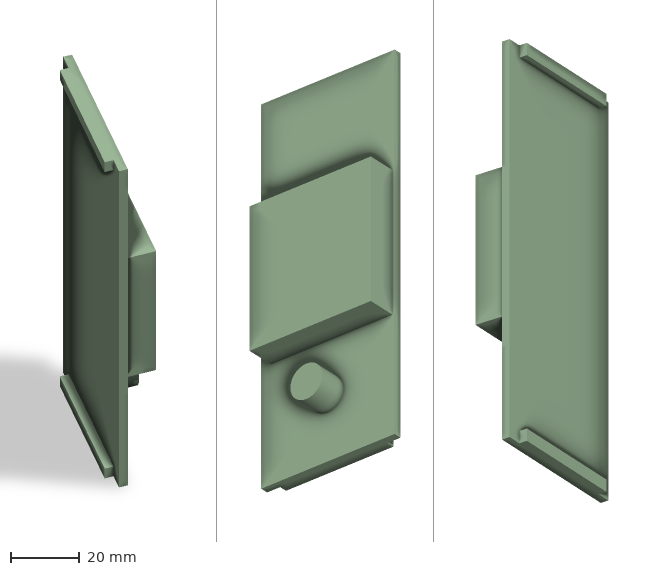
import cadquery as cq

plate_width = 50.0
plate_height = 130.0
plate_thickness = 2.7

rib_length = 40.3
rib_height = 4.0
rib_depth = 2.7

back_depth = 10.0
housing_width = 45.5
housing_height = 48.9
housing_offset_x = -1.4
housing_top_gap = 40.4
post_diameter = 12.0
post_bottom_gap = 22.5


def block(width, depth, height, center_x, start_y, center_z):
    """Box centred in X and Z that extends from start_y toward +Y."""
    box = cq.Workplane("XY").box(width, depth, height, centered=(True, False, True))
    return box.translate((center_x, start_y, center_z))


result = block(plate_width, plate_thickness, plate_height, 0, -plate_thickness, 0)

rib_center_z = (plate_height - rib_height) / 2
rib_front_y = -plate_thickness - rib_depth
for side in (-1, 1):
    rib = block(rib_length, rib_depth, rib_height, 0, rib_front_y, side * rib_center_z)
    result = result.union(rib)

housing_center_z = plate_height / 2 - housing_top_gap - housing_height / 2
housing = block(housing_width, back_depth, housing_height, housing_offset_x, 0, housing_center_z)
result = result.union(housing)

post_center_z = -plate_height / 2 + post_bottom_gap
post = (
    cq.Workplane("XZ")
    .center(0, post_center_z)
    .circle(post_diameter / 2)
    .extrude(-back_depth)
)
result = result.union(post)